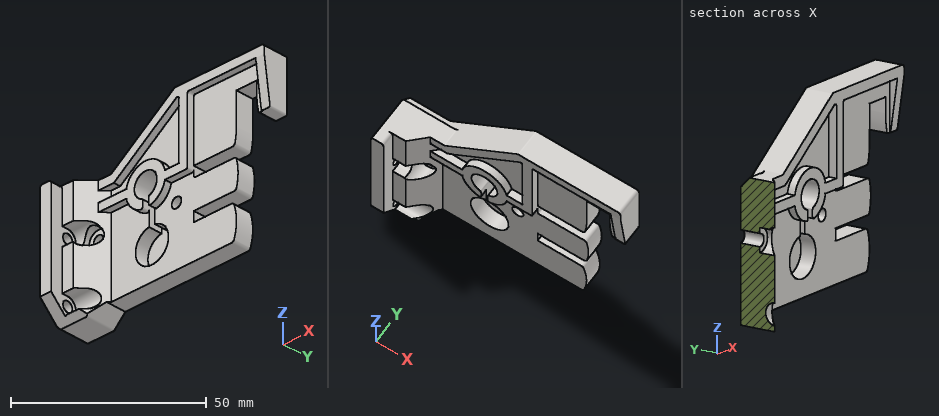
import cadquery as cq
import math

LENGTH = 71.5
HEIGHT = 56.6
DEPTH = 17.0
PLATE_THICKNESS = 6.1
FRAME_THICKNESS = 8.45
RIB_WIDTH = 3.1
EDGE_RADIUS = 1.0
SMALL_RADIUS = 0.6

BLOCK_TOP = 40.2
FLANGE_WIDTH = 4.0
STEP_DEPTH = 12.95
STEP_WIDTH = 8.0
BLOCK_WIDTH = STEP_WIDTH + STEP_DEPTH - PLATE_THICKNESS
BACK_CHAMFER = 2.85
FRONT_CHAMFER = 7.0
HOLE_RADIUS = 1.7
BORE_RADIUS = 3.1
BORE_DEPTH_Y = 10.95
BORE_HEIGHTS = (5.0, 25.0)
CROSS_HOLE_X = 10.3
HOLE_HEIGHT = 24.0
CROSS_BORE_RADIUS = 3.3

PLATE_BOTTOM = 4.0
FOOT_SLOPE_TOP_X = 14.0
SLOPE_START_X = 17.0
SLOPE_END_X = 39.6
FINGER_ROOT_X = 44.2
FINGER_EDGE_X = 59.35
FINGER_CORNER_X = 58.6
LOWER_TIP_CORNER_X = 58.3
MIDDLE_TIP_CORNER_X = 59.2
LOWER_TIP_BULGE = 1.1
MIDDLE_TIP_BULGE = 0.7
LOWER_SLOT = (15.65, 19.0)
UPPER_SLOT = (28.9, 32.45)
UPPER_FINGER_CURVE_Z = 37.9
HOOK_THROAT_X = 66.5
HOOK_THROAT_Z = 48.6
HOOK_CURVE_Z = 44.3
HOOK_TIP_X = 67.2
HOOK_BOTTOM = 38.7
HOOK_TIP_DEPTH = 6.3

BOSS_X = 29.3
BOSS_Z = 32.0
BOSS_RADIUS = 7.0
EYE_RADIUS = 4.0
KEYHOLE_Z = 15.0
KEYHOLE_RADIUS = 5.85
KEYHOLE_SLOT = 2.1
POCKET_FLOOR = 1.5
CROSS_RIB = (30.6, 33.45)
PLATE_HOLE_X = 38.05

SLOPE_ANGLE = math.atan2(HEIGHT - BLOCK_TOP, SLOPE_END_X - SLOPE_START_X)
RIB_LEFT_X = STEP_WIDTH + STEP_DEPTH - FRAME_THICKNESS
UPRIGHT_X = FINGER_ROOT_X - RIB_WIDTH
HOOK_ARM_X = LENGTH - RIB_WIDTH
FRAME_CEILING = HEIGHT - RIB_WIDTH


def slope_x(z, offset=0.0):
    """X of the sloping top at height z, or of a line parallel to it at a distance below it."""
    return SLOPE_START_X + (z - BLOCK_TOP) / math.tan(SLOPE_ANGLE) + offset / math.sin(SLOPE_ANGLE)


def front_plane(depth=0.0):
    """Sketch plane with local axes along X and Z; extruding goes forward, to -Y."""
    return cq.Workplane("XZ", origin=(0, -depth, 0))


def rectangle(x_range, z_range, depth):
    """Block from the back face to the given depth."""
    width = x_range[1] - x_range[0]
    height = z_range[1] - z_range[0]
    return front_plane().rect(width, height, centered=False).extrude(depth).translate((x_range[0], 0, z_range[0]))


def disc(x, z, radius, depth, start=0.0):
    return front_plane(start).center(x, z).circle(radius).extrude(depth - start)


def round_edges(body, points, radius):
    """Fillet the edges whose centres lie nearest to the given points."""
    selector = cq.selectors.NearestToPointSelector(points[0])
    for point in points[1:]:
        selector = selector + cq.selectors.NearestToPointSelector(point)
    return body.edges(selector).fillet(radius)


def sharp_outline(depth):
    """Full silhouette of plate, fingers and hook, with sharp corners."""
    curve_height = UPPER_FINGER_CURVE_Z - UPPER_SLOT[1]
    curve_setback = FINGER_EDGE_X - FINGER_CORNER_X
    finger_curve_radius = (curve_height**2 + curve_setback**2) / (2 * curve_setback)
    return (
        front_plane()
        .moveTo(RIB_LEFT_X, PLATE_BOTTOM)
        .lineTo(LOWER_TIP_CORNER_X, PLATE_BOTTOM)
        .sagittaArc((LOWER_TIP_CORNER_X, LOWER_SLOT[0]), -LOWER_TIP_BULGE)
        .lineTo(FINGER_ROOT_X, LOWER_SLOT[0])
        .lineTo(FINGER_ROOT_X, LOWER_SLOT[1])
        .lineTo(MIDDLE_TIP_CORNER_X, LOWER_SLOT[1])
        .sagittaArc((MIDDLE_TIP_CORNER_X, UPPER_SLOT[0]), -MIDDLE_TIP_BULGE)
        .lineTo(FINGER_ROOT_X, UPPER_SLOT[0])
        .lineTo(FINGER_ROOT_X, UPPER_SLOT[1])
        .lineTo(FINGER_CORNER_X, UPPER_SLOT[1])
        .radiusArc((FINGER_EDGE_X, UPPER_FINGER_CURVE_Z), -finger_curve_radius)
        .lineTo(FINGER_EDGE_X, HOOK_THROAT_Z)
        .lineTo(HOOK_THROAT_X, HOOK_THROAT_Z)
        .lineTo(HOOK_THROAT_X, HOOK_CURVE_Z)
        .tangentArcPoint((HOOK_TIP_X, HOOK_BOTTOM), relative=False)
        .lineTo(LENGTH, HOOK_BOTTOM)
        .lineTo(LENGTH, HEIGHT)
        .lineTo(SLOPE_END_X, HEIGHT)
        .lineTo(SLOPE_START_X, BLOCK_TOP)
        .lineTo(RIB_LEFT_X, BLOCK_TOP)
        .close()
        .extrude(depth)
    )


def main_outline(depth):
    """Silhouette with its outside corners rounded."""
    middle = -depth / 2
    body = sharp_outline(depth)
    corners = [
        (LOWER_TIP_CORNER_X, middle, PLATE_BOTTOM),
        (LOWER_TIP_CORNER_X, middle, LOWER_SLOT[0]),
        (MIDDLE_TIP_CORNER_X, middle, LOWER_SLOT[1]),
        (MIDDLE_TIP_CORNER_X, middle, UPPER_SLOT[0]),
        (FINGER_CORNER_X, middle, UPPER_SLOT[1]),
        (LENGTH, middle, HEIGHT),
        (SLOPE_END_X, middle, HEIGHT),
    ]
    small_corners = [
        (HOOK_TIP_X, middle, HOOK_BOTTOM),
        (LENGTH, middle, HOOK_BOTTOM),
        (FINGER_ROOT_X, middle, UPPER_SLOT[0]),
    ]
    body = round_edges(body, corners, EDGE_RADIUS)
    return round_edges(body, small_corners, SMALL_RADIUS)


def frame():
    """Raised ribs: the outline kept only along the top, upright, hook arm and cross rib."""
    depth = FRAME_THICKNESS
    body = main_outline(depth)
    window = (
        front_plane()
        .moveTo(0, BLOCK_TOP - RIB_WIDTH)
        .lineTo(slope_x(BLOCK_TOP - RIB_WIDTH, RIB_WIDTH), BLOCK_TOP - RIB_WIDTH)
        .lineTo(UPRIGHT_X, BLOCK_TOP + (UPRIGHT_X - slope_x(BLOCK_TOP, RIB_WIDTH)) * math.tan(SLOPE_ANGLE))
        .lineTo(UPRIGHT_X, CROSS_RIB[1])
        .lineTo(0, CROSS_RIB[1])
        .close()
        .extrude(depth)
    )
    window = round_edges(window, [(UPRIGHT_X, -depth / 2, FRAME_CEILING)], SMALL_RADIUS)
    hook_space = rectangle((FINGER_ROOT_X, HOOK_ARM_X), (0, FRAME_CEILING), depth)
    hook_space = hook_space.edges("|Y and >Z").fillet(SMALL_RADIUS)
    below_rib = rectangle((0, FINGER_ROOT_X), (0, CROSS_RIB[0]), depth)
    body = body.cut(window).cut(hook_space).cut(below_rib)
    body = round_edges(body, [(FINGER_ROOT_X, -depth / 2, CROSS_RIB[0])], SMALL_RADIUS)
    arm_taper = (
        cq.Workplane("YZ", origin=(HOOK_ARM_X, 0, 0))
        .moveTo(-FRAME_THICKNESS, FRAME_CEILING)
        .lineTo(-HOOK_TIP_DEPTH, HOOK_BOTTOM)
        .lineTo(-FRAME_THICKNESS, HOOK_BOTTOM)
        .close()
        .extrude(RIB_WIDTH)
    )
    return body.cut(arm_taper)


def block():
    """Mounting block: flange, step and 45 degree shoulder running down into the plate."""
    foot_x = FOOT_SLOPE_TOP_X - PLATE_BOTTOM
    body = (
        cq.Workplane("XY")
        .moveTo(0, 0)
        .lineTo(0, -DEPTH)
        .lineTo(FLANGE_WIDTH, -DEPTH)
        .lineTo(FLANGE_WIDTH, -STEP_DEPTH)
        .lineTo(STEP_WIDTH, -STEP_DEPTH)
        .lineTo(BLOCK_WIDTH, -PLATE_THICKNESS)
        .lineTo(BLOCK_WIDTH, 0)
        .close()
        .extrude(BLOCK_TOP)
    )
    side = (
        front_plane()
        .moveTo(0, 0)
        .lineTo(foot_x, 0)
        .lineTo(FOOT_SLOPE_TOP_X, PLATE_BOTTOM)
        .lineTo(BLOCK_WIDTH, PLATE_BOTTOM)
        .lineTo(BLOCK_WIDTH, BLOCK_TOP)
        .lineTo(0, BLOCK_TOP)
        .close()
        .extrude(DEPTH)
    )
    side = round_edges(side, [(0, -DEPTH / 2, 0), (foot_x, -DEPTH / 2, 0)], EDGE_RADIUS)
    front_chamfer = (
        cq.Workplane("YZ")
        .moveTo(-DEPTH, 0)
        .lineTo(-DEPTH + FRONT_CHAMFER, 0)
        .lineTo(-DEPTH, FRONT_CHAMFER)
        .close()
        .extrude(BLOCK_WIDTH)
    )
    body = body.intersect(side).cut(front_chamfer)
    flange_corner = (FLANGE_WIDTH, -(DEPTH + STEP_DEPTH) / 2, BLOCK_TOP)
    return round_edges(body, [flange_corner], EDGE_RADIUS)


def back_chamfer():
    """Wedge removed from the top back edge of the block, stopping at the sloping top."""
    low = BLOCK_TOP - BACK_CHAMFER
    wedge = (
        cq.Workplane("YZ")
        .moveTo(0, low)
        .lineTo(0, BLOCK_TOP)
        .lineTo(-BACK_CHAMFER, BLOCK_TOP)
        .close()
        .extrude(SLOPE_START_X)
    )
    left_of_slope = (
        front_plane()
        .moveTo(0, low)
        .lineTo(slope_x(low), low)
        .lineTo(slope_x(BLOCK_TOP), BLOCK_TOP)
        .lineTo(0, BLOCK_TOP)
        .close()
        .extrude(DEPTH)
    )
    return wedge.intersect(left_of_slope)


def screw_bores():
    """Holes along X through the flange, each leading to a round-bottomed channel open to the front."""
    tools = cq.Workplane("XY")
    for height in BORE_HEIGHTS:
        axis = cq.Workplane("YZ").center(-BORE_DEPTH_Y, height)
        hole = axis.circle(HOLE_RADIUS).extrude(BLOCK_WIDTH)
        bore = axis.workplane(offset=FLANGE_WIDTH).circle(BORE_RADIUS).extrude(BLOCK_WIDTH)
        mouth = (
            cq.Workplane("XY")
            .box(BLOCK_WIDTH, DEPTH, 2 * BORE_RADIUS, centered=(False, False, True))
            .translate((FLANGE_WIDTH, -BORE_DEPTH_Y - DEPTH, height))
        )
        tools = tools.add(hole).add(bore).add(mouth)
    return tools.combine()


def slot_corners(radius, back):
    """Middles of the two corners where the keyhole slot crosses a circle around the boss centre."""
    half_slot = KEYHOLE_SLOT / 2
    z = BOSS_Z - math.sqrt(radius**2 - half_slot**2)
    middle = -(FRAME_THICKNESS + back) / 2
    return [(BOSS_X - half_slot, middle, z), (BOSS_X + half_slot, middle, z)]


def keyhole():
    """Blind pocket: round eye in the boss, joined by a narrow slot to a larger round below."""
    eye = disc(BOSS_X, BOSS_Z, EYE_RADIUS, FRAME_THICKNESS, POCKET_FLOOR)
    lower = disc(BOSS_X, KEYHOLE_Z, KEYHOLE_RADIUS, FRAME_THICKNESS, POCKET_FLOOR)
    slot = (
        front_plane(POCKET_FLOOR)
        .center(BOSS_X, (BOSS_Z + KEYHOLE_Z) / 2)
        .rect(KEYHOLE_SLOT, BOSS_Z - KEYHOLE_Z)
        .extrude(FRAME_THICKNESS - POCKET_FLOOR)
    )
    mouth = slot_corners(EYE_RADIUS, POCKET_FLOOR)
    return round_edges(eye.union(lower).union(slot), mouth, SMALL_RADIUS)


body = main_outline(PLATE_THICKNESS).union(frame()).union(disc(BOSS_X, BOSS_Z, BOSS_RADIUS, FRAME_THICKNESS))
body = body.union(block()).cut(back_chamfer())

chamfer_middle = BACK_CHAMFER / 2
top_middle = -(DEPTH + BACK_CHAMFER) / 2
body = round_edges(
    body,
    [(0, top_middle, BLOCK_TOP), (0, -chamfer_middle, BLOCK_TOP - chamfer_middle)],
    EDGE_RADIUS,
)
body = round_edges(
    body,
    [
        (SLOPE_START_X, -(FRAME_THICKNESS + BACK_CHAMFER) / 2, BLOCK_TOP),
        (slope_x(BLOCK_TOP - chamfer_middle), -chamfer_middle, BLOCK_TOP - chamfer_middle),
    ],
    EDGE_RADIUS,
)

body = body.cut(screw_bores()).cut(keyhole())
body = round_edges(body, slot_corners(BOSS_RADIUS, PLATE_THICKNESS), SMALL_RADIUS)
body = body.cut(disc(PLATE_HOLE_X, HOLE_HEIGHT, HOLE_RADIUS, DEPTH))
body = body.cut(disc(CROSS_HOLE_X, HOLE_HEIGHT, HOLE_RADIUS, DEPTH))
result = body.cut(disc(CROSS_HOLE_X, HOLE_HEIGHT, CROSS_BORE_RADIUS, DEPTH, PLATE_THICKNESS))